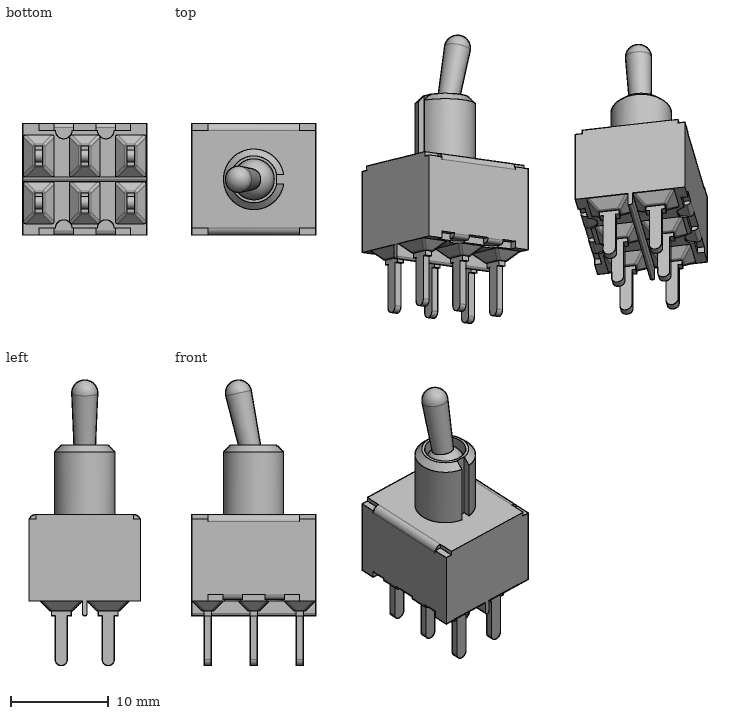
import cadquery as cq
import math


case_length = 12.7
case_width = 11.43
case_height = 8.89
wall = 0.72
tab_span = 9.35
corner_step = 0.45

opening_height = 0.7
tab_width = 1.95
tab_spacing = 4.3
tab_gap = 0.2
tab_bend_radius = 0.42
scoop_radius = 0.85

bushing_diameter = 6.2
bushing_height = 7.1
bushing_chamfer = 0.7
keyway_width = 1.0
keyway_floor = 2.32

barrier_thickness = 0.48
barrier_depth = 1.5
barrier_edge_radius = 0.23

terminal_pitch_x = 4.7
terminal_pitch_y = 4.8
terminal_thickness = 0.75
terminal_width = 1.25
terminal_length = 6.6
shoulder_width = 2.05
shoulder_depth = barrier_depth
pad_length = 3.15
pad_width = 4.3
pad_depth = 1.0
pad_corner_radius = 0.25
pad_lower_radius = 0.2

overall_height = 29.25
lever_tilt = 12.0
ball_diameter = 4.2
shaft_reach = 7.5
shaft_tip_radius = 1.35
shaft_root_radius = 1.12
shaft_root_reach = 2.0

ball_radius = ball_diameter / 2
tip_top = overall_height - terminal_length
tip_center_rise = shaft_reach * math.cos(math.radians(lever_tilt))
ball_center_z = tip_top - shaft_tip_radius - tip_center_rise


def block(length, width, height, x, y, bottom):
    """A box centred on (x, y) that stands on the height `bottom`."""
    return cq.Workplane("XY").box(length, width, height, centered=(True, True, False)).translate((x, y, bottom))


def make_case():
    """Box with rounded top tabs along both long sides and square steps at the corners."""
    case = block(case_length, case_width, case_height, 0, 0, 0)
    rounded_tabs = block(tab_span, case_width, case_height, 0, 0, 0).edges("|X and >Z").fillet(wall)
    step_bottom = case_height - corner_step
    for side in (-1, 1):
        strip_y = side * (case_width - wall) / 2
        case = case.cut(block(case_length, wall, corner_step, 0, strip_y, step_bottom))
        case = case.cut(block(tab_span, wall, wall, 0, strip_y, case_height - wall))
    return case.union(rounded_tabs)


def make_openings(case):
    """Cut the lower openings and put back the bent tabs, with a scoop under each tab."""
    for side in (-1, 1):
        opening_y = side * (case_width - wall) / 2
        back_y = side * (case_width / 2 - wall)
        outer_edge = "|X and <Z and <Y" if side < 0 else "|X and <Z and >Y"
        case = case.cut(block(tab_span, wall, opening_height, 0, opening_y, 0))
        for tab_x in (-tab_spacing / 2, tab_spacing / 2):
            tab = block(tab_width, wall, opening_height - tab_gap, tab_x, opening_y, tab_gap)
            case = case.union(tab.edges(outer_edge).fillet(tab_bend_radius))
            case = case.cut(cq.Workplane("XY").center(tab_x, back_y).circle(scoop_radius).extrude(tab_gap))
    return case


def make_bushing():
    """Chamfered sleeve with a keyway along its +X side."""
    bushing = cq.Workplane("XY").workplane(offset=case_height).circle(bushing_diameter / 2)
    bushing = bushing.extrude(bushing_height).faces(">Z").chamfer(bushing_chamfer)
    keyway_x = keyway_floor + bushing_diameter / 2
    return bushing.cut(block(bushing_diameter, keyway_width, bushing_height, keyway_x, 0, case_height))


def make_ball_seat():
    """Bore down to the ball centre, ending in a spherical seat."""
    bore = cq.Workplane("XY").workplane(offset=ball_center_z).circle(ball_radius).extrude(bushing_height)
    return bore.union(cq.Workplane("XY").sphere(ball_radius).translate((0, 0, ball_center_z)))


def make_barrier():
    """Full-length rib with a rounded lower edge."""
    barrier = block(case_length, barrier_thickness, barrier_depth, 0, 0, -barrier_depth)
    return barrier.edges("|X and <Z").fillet(barrier_edge_radius)


def make_pad():
    """Pyramid with rounded corners and lower rim and 45 degree sides, narrowing downward."""
    lower_length = pad_length - 2 * pad_depth
    lower_width = pad_width - 2 * pad_depth
    upper = cq.Sketch().rect(pad_length, pad_width).vertices().fillet(pad_corner_radius)
    lower = cq.Sketch().rect(lower_length, lower_width).vertices().fillet(pad_corner_radius)
    lower = lower.moved(cq.Location(cq.Vector(0, 0, -pad_depth)))
    pad = cq.Workplane("XY").placeSketch(upper, lower).loft(ruled=True)
    return pad.faces("<Z").edges().fillet(pad_lower_radius)


def make_terminal():
    """Flat pin with a shoulder, a rounded end and its pad."""
    end_radius = terminal_width / 2
    pin = (
        cq.Workplane("YZ")
        .moveTo(-shoulder_width / 2, 0)
        .lineTo(-shoulder_width / 2, -shoulder_depth)
        .lineTo(-end_radius, -shoulder_depth)
        .lineTo(-end_radius, end_radius - terminal_length)
        .threePointArc((0, -terminal_length), (end_radius, end_radius - terminal_length))
        .lineTo(end_radius, -shoulder_depth)
        .lineTo(shoulder_width / 2, -shoulder_depth)
        .lineTo(shoulder_width / 2, 0)
        .close()
        .extrude(terminal_thickness / 2, both=True)
    )
    return pin.union(make_pad())


def make_housing():
    """Case, bushing, barrier and six terminals as one solid."""
    housing = make_openings(make_case()).union(make_bushing()).cut(make_ball_seat()).union(make_barrier())
    for column in (-1, 0, 1):
        for row in (-0.5, 0.5):
            place = (column * terminal_pitch_x, row * terminal_pitch_y, 0)
            housing = housing.union(make_terminal().translate(place))
    return housing


def make_lever():
    """Ball with a tapered shaft and domed tip, tilted toward -X about the ball centre."""
    taper = (shaft_tip_radius - shaft_root_radius) / (shaft_reach - shaft_root_reach)
    center_radius = shaft_root_radius - taper * shaft_root_reach
    dome_middle = shaft_tip_radius * math.sqrt(0.5)
    shaft = (
        cq.Workplane("XZ")
        .lineTo(center_radius, 0)
        .lineTo(shaft_tip_radius, shaft_reach)
        .threePointArc((dome_middle, shaft_reach + dome_middle), (0, shaft_reach + shaft_tip_radius))
        .close()
        .revolve(360, (0, 0, 0), (0, 1, 0))
    )
    shaft = shaft.rotate((0, 0, 0), (0, 1, 0), -lever_tilt)
    return cq.Workplane("XY").sphere(ball_radius).union(shaft).translate((0, 0, ball_center_z))


housing = make_housing()
lever = make_lever()

result = cq.Compound.makeCompound([*housing.solids().vals(), *lever.solids().vals()])